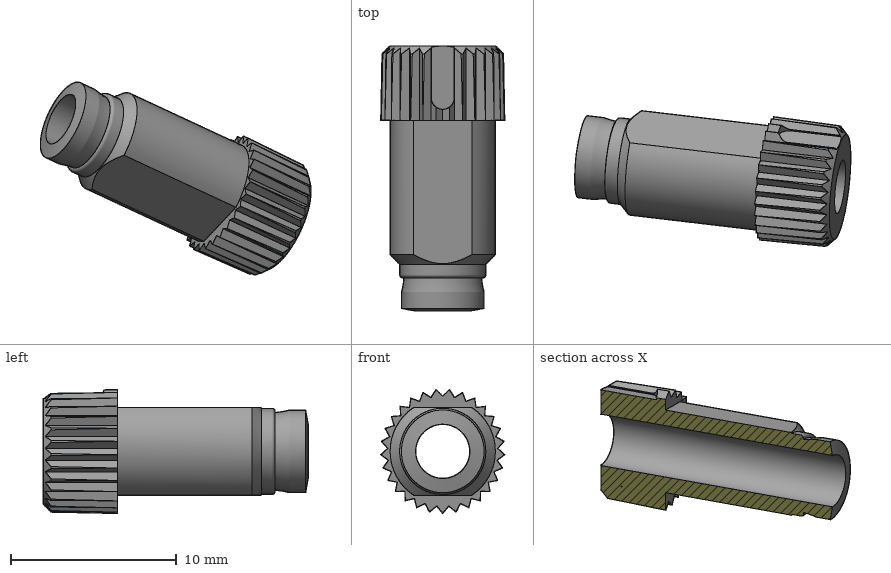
import cadquery as cq
import math

length = 16.0
cone_depth = 0.16
tip_land_end = 1.14
neck_end = 2.0
collar_end = 2.82
body_chamfer_end = 3.4
head_front = 11.5

bore_diameter = 3.25
tip_diameter = 5.0
neck_diameter = 4.7
collar_diameter = 5.2
body_diameter = 6.35
head_diameter = 7.5

neck_arc_radius = 5.0
collar_front_round = 0.2

flat_width = 5.3

tooth_count = 29
root_radius = 3.33
tip_taper = 0.08
head_chamfer = 0.48

slot_width = 1.38
slot_front_margin = 0.67
slot_front = head_front + slot_front_margin
slot_floor = 3.2

bore_radius = bore_diameter / 2
tip_radius = tip_diameter / 2
neck_radius = neck_diameter / 2
collar_radius = collar_diameter / 2
body_radius = body_diameter / 2
head_radius = head_diameter / 2


def make_nose():
    """Turned front end: coned tip, waisted neck and rounded collar, solid to the axis."""
    round_start = collar_radius - collar_front_round
    return (
        cq.Workplane("XY")
        .moveTo(0, 0)
        .lineTo(bore_radius, 0)
        .lineTo(tip_radius, cone_depth)
        .lineTo(tip_radius, tip_land_end)
        .radiusArc((neck_radius, neck_end), neck_arc_radius)
        .lineTo(round_start, neck_end)
        .radiusArc((collar_radius, neck_end + collar_front_round), -collar_front_round)
        .lineTo(collar_radius, collar_end)
        .lineTo(0, collar_end)
        .close()
        .revolve(360, (0, 0, 0), (0, 1, 0))
    )


def make_body():
    """Round shank with a conical front shoulder and two flats facing up and down."""
    shank = (
        cq.Workplane("XY")
        .moveTo(0, collar_end)
        .lineTo(collar_radius, collar_end)
        .lineTo(body_radius, body_chamfer_end)
        .lineTo(body_radius, head_front)
        .lineTo(0, head_front)
        .close()
        .revolve(360, (0, 0, 0), (0, 1, 0))
    )
    between_flats = cq.Workplane("XY").box(body_diameter, 2 * length, flat_width)
    return shank.intersect(between_flats)


def make_head():
    """Toothed head trimmed by a slightly tapered, chamfered envelope."""
    pitch = 2 * math.pi / tooth_count
    outline = []
    for tooth in range(tooth_count):
        tip_angle = tooth * pitch - math.pi / 2
        root_angle = tip_angle + pitch / 2
        outline.append((head_radius * math.cos(tip_angle), head_radius * math.sin(tip_angle)))
        outline.append((root_radius * math.cos(root_angle), root_radius * math.sin(root_angle)))
    teeth = (
        cq.Workplane("XZ", origin=(0, head_front, 0))
        .polyline(outline)
        .close()
        .extrude(head_front - length)
    )
    rear_radius = head_radius - tip_taper
    envelope = (
        cq.Workplane("XY")
        .moveTo(0, head_front)
        .lineTo(head_radius, head_front)
        .lineTo(rear_radius, length - head_chamfer)
        .lineTo(rear_radius - head_chamfer, length)
        .lineTo(0, length)
        .close()
        .revolve(360, (0, 0, 0), (0, 1, 0))
    )
    return teeth.intersect(envelope)


def make_slot():
    """Round-ended cutter for the slot that opens through the rear of the head."""
    half_width = slot_width / 2
    round_centre = slot_front + half_width
    return (
        cq.Workplane("XY", origin=(0, 0, slot_floor))
        .moveTo(half_width, length)
        .lineTo(half_width, round_centre)
        .threePointArc((0, slot_front), (-half_width, round_centre))
        .lineTo(-half_width, length)
        .close()
        .extrude(head_radius)
    )


bore = cq.Workplane("XZ").circle(bore_radius).extrude(-length)

result = make_nose().union(make_body()).union(make_head()).cut(make_slot()).cut(bore)